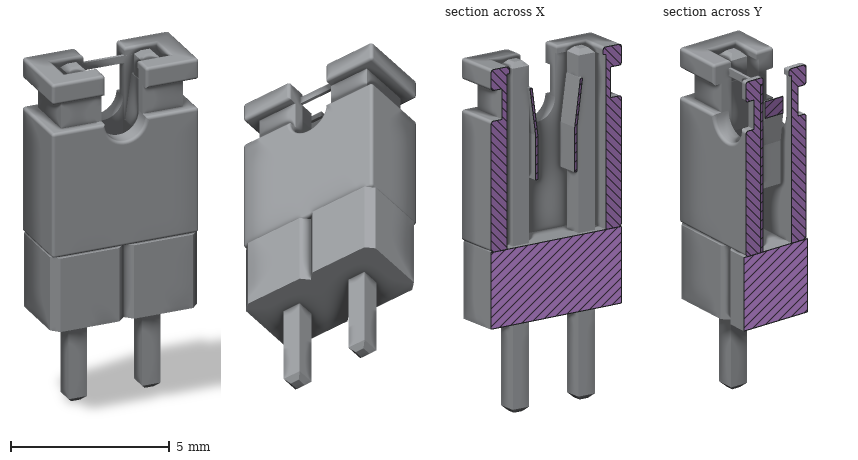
import cadquery as cq

PITCH = 2.54
PIN_COUNT = 2
PIN_SIDE = 0.64
PIN_CHAMFER = 0.16
TAIL_LENGTH = 3.0
TOTAL_HEIGHT = 11.55
CELL_CHAMFER = 0.25

CAP_WIDTH = 2.4
CAP_LENGTH = 5.06
HEAD_HEIGHT = 0.7
NECK_HEIGHT = 0.99
NECK_INSET_X = 0.31
NECK_INSET_Y = 0.43
EDGE_RADIUS = 0.1
NOTCH_WIDTH = 1.41

CAVITY_WIDTH = 1.21
CAVITY_LENGTH = 3.81
LIP_HEIGHT = 0.25

SHEET = 0.1
BAR_HEIGHT = 0.25
LEG_END_X = 0.3
SPRING_RELIEF = 0.06
LEG_BOTTOM = 7.62
SPRING_FOLD = 9.1
SPRING_TOP = 10.68
SPRING_LEAN = 0.22

block_top = TAIL_LENGTH + PITCH
pin_places = [(i - (PIN_COUNT - 1) / 2) * PITCH for i in range(PIN_COUNT)]
head_bottom = TOTAL_HEIGHT - HEAD_HEIGHT
shoulder = head_bottom - NECK_HEIGHT
lip_bottom = TOTAL_HEIGHT - LIP_HEIGHT
half_notch = NOTCH_WIDTH / 2
opening_width = CAVITY_WIDTH - 2 * EDGE_RADIUS
opening_length = CAVITY_LENGTH - 2 * EDGE_RADIUS


def box(x_range, y_range, z_range):
    """Box between the given limits along each axis."""
    (x0, x1), (y0, y1), (z0, z1) = x_range, y_range, z_range
    return cq.Workplane("XY").box(x1 - x0, y1 - y0, z1 - z0, centered=False).translate((x0, y0, z0))


def centred_box(width, length, bottom, top):
    """Box centred on the Z axis between two heights."""
    return box((-width / 2, width / 2), (-length / 2, length / 2), (bottom, top))


def make_pin(y):
    pin = centred_box(PIN_SIDE, PIN_SIDE, 0, TOTAL_HEIGHT)
    return pin.faces("<Z or >Z").chamfer(PIN_CHAMFER).translate((0, y, 0))


def make_header():
    header = cq.Workplane("XY")
    for y in pin_places:
        cell = centred_box(PITCH, PITCH, TAIL_LENGTH, block_top).edges("|Z").chamfer(CELL_CHAMFER)
        header = header.union(cell.translate((0, y, 0))).union(make_pin(y))
    return header


def make_cap_body():
    body = centred_box(CAP_WIDTH, CAP_LENGTH, block_top, shoulder)
    notch_floor = (
        cq.Workplane("YZ").center(0, shoulder).circle(half_notch).extrude(CAP_WIDTH / 2, both=True)
    )
    body = body.cut(notch_floor)
    side_edges = body.faces("<X or >X or <Y or >Y").edges()
    return side_edges.fillet(EDGE_RADIUS)


def make_head_half():
    """Half of the head on the +Y side: a U-shaped rim open towards the notch."""
    half_length = CAP_LENGTH / 2
    half = box((-CAP_WIDTH / 2, CAP_WIDTH / 2), (half_notch, half_length), (head_bottom, TOTAL_HEIGHT))
    half = half.edges("|Z or (<Z and (not <Y))").fillet(EDGE_RADIUS)
    half = half.cut(centred_box(opening_width, opening_length, head_bottom, TOTAL_HEIGHT))
    return half.faces(">Z").edges().fillet(EDGE_RADIUS)


def make_neck_half():
    """Half of the neck on the +Y side, carried up into the head."""
    half_width = CAP_WIDTH / 2 - NECK_INSET_X
    y_range = (half_notch, CAP_LENGTH / 2 - NECK_INSET_Y)
    return box((-half_width, half_width), y_range, (shoulder, head_bottom + EDGE_RADIUS))


def make_cap():
    tower = make_head_half().union(make_neck_half())
    cap = make_cap_body().union(tower).union(tower.mirror("XZ"))
    return cap.cut(centred_box(CAVITY_WIDTH, CAVITY_LENGTH, block_top, lip_bottom))


def make_leg():
    """Leg on the +Y side: a straight web joined to the plate and a spring leaning to the pin."""
    plate_face = SHEET - CAVITY_WIDTH / 2
    web = box((plate_face, LEG_END_X), (half_notch, half_notch + SHEET), (LEG_BOTTOM, SPRING_FOLD))
    spring_start = plate_face + SPRING_RELIEF
    spring = (
        cq.Workplane("YZ", origin=(spring_start, 0, 0))
        .moveTo(half_notch, SPRING_FOLD)
        .lineTo(half_notch + SPRING_LEAN, SPRING_TOP)
        .lineTo(half_notch + SPRING_LEAN + SHEET, SPRING_TOP)
        .lineTo(half_notch + SHEET, SPRING_FOLD)
        .close()
        .extrude(LEG_END_X - spring_start)
    )
    return web.union(spring)


def make_contact(header):
    wall = -CAVITY_WIDTH / 2
    sheet_range = (wall, wall + SHEET)
    half_length = CAVITY_LENGTH / 2
    plate = box(sheet_range, (-half_length, half_length), (block_top, lip_bottom))
    window = box(sheet_range, (-half_notch, half_notch), (LEG_BOTTOM, lip_bottom - BAR_HEIGHT))
    leg = make_leg()
    contact = plate.cut(window).union(leg).union(leg.mirror("XZ"))
    return contact.cut(header)


header = make_header()
cap = make_cap()
contact = make_contact(header)

result = cq.Compound.makeCompound([header.val(), cap.val(), contact.val()])